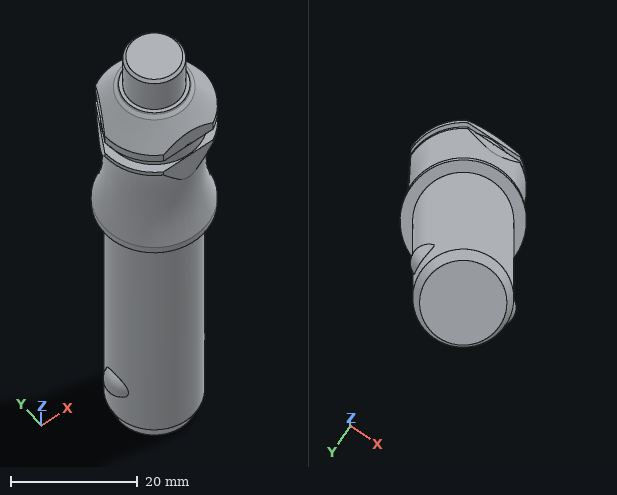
import cadquery as cq
import math

TIP_HEIGHT = 3.0
BALL_HEIGHT = 11.5
HANDLE_BOTTOM = 54.0
HANDLE_LENGTH = 32.0
OVERALL_LENGTH = 93.5

SHANK_RADIUS = 8.0
TIP_RADIUS = 6.9
BALL_RADIUS = 3.0
BALL_REACH = 9.5

HANDLE_RADIUS = 10.0
BASE_BAND = 1.4
WAIST_LENGTH = 19.6
WAIST_ARC_RADIUS = 28.0
UPPER_BAND = 0.9
GROOVE_WIDTH = 2.9
GROOVE_RADIUS = 8.5
HEAD_BAND = 1.7
CONE_HEIGHT = 4.7
CONE_TOP_RADIUS = 6.45
RIM_RADIUS = 5.8
RIM_HEIGHT = 0.2
CROWN_RADIUS = 5.65

FLAT_COUNT = 3
FLAT_DISTANCE = HANDLE_RADIUS * math.cos(math.pi / 6)
FIRST_FLAT_ANGLE = -90.0

BUTTON_RADIUS = 5.0
BUTTON_CHAMFER = 0.5

HANDLE_TOP = HANDLE_BOTTOM + HANDLE_LENGTH
WAIST_BOTTOM = HANDLE_BOTTOM + BASE_BAND
WAIST_MIDDLE = WAIST_BOTTOM + WAIST_LENGTH / 2
WAIST_TOP = WAIST_BOTTOM + WAIST_LENGTH
GROOVE_BOTTOM = WAIST_TOP + UPPER_BAND
GROOVE_TOP = GROOVE_BOTTOM + GROOVE_WIDTH
CONE_BOTTOM = GROOVE_TOP + HEAD_BAND
CONE_TOP = CONE_BOTTOM + CONE_HEIGHT

WAIST_DEPTH = WAIST_ARC_RADIUS - math.sqrt(WAIST_ARC_RADIUS**2 - (WAIST_LENGTH / 2) ** 2)
WAIST_RADIUS = HANDLE_RADIUS - WAIST_DEPTH


def make_shank():
    """Plain shank with a tapered tip."""
    profile = (
        cq.Workplane("XZ")
        .lineTo(TIP_RADIUS, 0)
        .lineTo(SHANK_RADIUS, TIP_HEIGHT)
        .lineTo(SHANK_RADIUS, HANDLE_BOTTOM)
        .lineTo(0, HANDLE_BOTTOM)
        .close()
    )
    return profile.revolve(360, (0, 0), (0, 1))


def make_handle():
    """Waisted grip, groove and conical head, with its three flats."""
    profile = (
        cq.Workplane("XZ")
        .moveTo(0, HANDLE_BOTTOM)
        .lineTo(HANDLE_RADIUS, HANDLE_BOTTOM)
        .lineTo(HANDLE_RADIUS, WAIST_BOTTOM)
        .threePointArc((WAIST_RADIUS, WAIST_MIDDLE), (HANDLE_RADIUS, WAIST_TOP))
        .lineTo(HANDLE_RADIUS, GROOVE_BOTTOM)
        .lineTo(GROOVE_RADIUS, GROOVE_BOTTOM)
        .lineTo(GROOVE_RADIUS, GROOVE_TOP)
        .lineTo(HANDLE_RADIUS, GROOVE_TOP)
        .lineTo(HANDLE_RADIUS, CONE_BOTTOM)
        .lineTo(CONE_TOP_RADIUS, CONE_TOP)
        .lineTo(RIM_RADIUS, HANDLE_TOP - RIM_HEIGHT)
        .lineTo(CROWN_RADIUS, HANDLE_TOP)
        .lineTo(0, HANDLE_TOP)
        .close()
    )
    handle = profile.revolve(360, (0, 0), (0, 1))
    for index in range(FLAT_COUNT):
        handle = handle.cut(make_flat_cutter(FIRST_FLAT_ANGLE + index * 360 / FLAT_COUNT))
    return handle


def make_flat_cutter(angle):
    """Block that trims one flat, from the middle of the waist up to the head."""
    block = cq.Workplane("XY").box(
        HANDLE_RADIUS, 2 * HANDLE_RADIUS, HANDLE_TOP - WAIST_MIDDLE, centered=(False, True, False)
    )
    return block.translate((FLAT_DISTANCE, 0, WAIST_MIDDLE)).rotate((0, 0, 0), (0, 0, 1), angle)


def make_ball(side):
    """Locking ball standing out of the shank on the given X side."""
    center_x = side * (BALL_REACH - BALL_RADIUS)
    return cq.Workplane("XY").sphere(BALL_RADIUS).translate((center_x, 0, BALL_HEIGHT))


def make_button():
    """Release button with a chamfered top edge."""
    button = (
        cq.Workplane("XY")
        .workplane(offset=HANDLE_TOP)
        .circle(BUTTON_RADIUS)
        .extrude(OVERALL_LENGTH - HANDLE_TOP)
    )
    return button.faces(">Z").chamfer(BUTTON_CHAMFER)


result = make_handle().union(make_shank()).union(make_button())
for ball_side in (-1, 1):
    result = result.union(make_ball(ball_side))